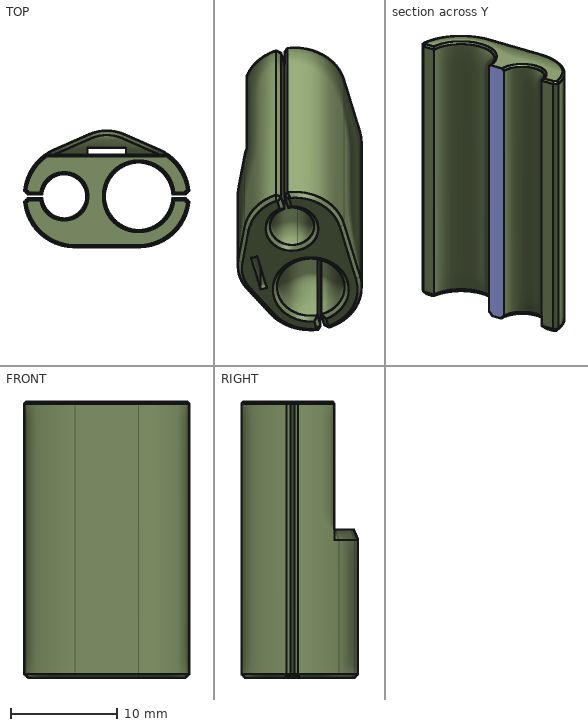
import cadquery as cq
import math

height = 26.0
end_radius = 4.8
end_offset = 3.0
back_y = 3.95
top_chamfer = 0.2
bottom_chamfer = 0.4

ledge_height = 14.0
ledge_peak_y = 6.19
ledge_peak_radius = 4.0
ledge_bevel_height = 1.0
ledge_bevel_inset = 0.43

small_bore_x = -4.0
small_bore_diameter = 4.15
large_bore_x = 3.0
large_bore_diameter = 6.35

slit_width = 0.35
slit_mouth_width = 1.1

window_width = 3.6
window_depth = 0.6


def point_on_circle(center, radius, angle):
    """Point at an angle measured from +Y towards +X."""
    return (center[0] + radius * math.sin(angle), center[1] + radius * math.cos(angle))


def gable_tangent_angle():
    """Tilt of the line tangent to both the right end arc and the ledge peak arc."""
    peak_center_y = ledge_peak_y - ledge_peak_radius
    center_distance = math.hypot(end_offset, peak_center_y)
    direction = math.atan2(end_offset, -peak_center_y)
    return direction - math.acos((ledge_peak_radius - end_radius) / center_distance)


def ledge_outline():
    """Stadium outline whose back is replaced by a gable tangent to both end arcs."""
    angle = gable_tangent_angle()
    right_center = (end_offset, 0)
    peak_center = (0, ledge_peak_y - ledge_peak_radius)
    end_tangent = point_on_circle(right_center, end_radius, angle)
    peak_tangent = point_on_circle(peak_center, ledge_peak_radius, angle)
    end_middle = point_on_circle(right_center, end_radius, (angle + math.pi) / 2)
    return (
        cq.Workplane("XY")
        .moveTo(-end_offset, -end_radius)
        .lineTo(end_offset, -end_radius)
        .threePointArc(end_middle, end_tangent)
        .lineTo(*peak_tangent)
        .threePointArc((0, ledge_peak_y), (-peak_tangent[0], peak_tangent[1]))
        .lineTo(-end_tangent[0], end_tangent[1])
        .threePointArc((-end_middle[0], end_middle[1]), (-end_offset, -end_radius))
        .close()
    )


def make_ledge():
    straight_height = ledge_height - ledge_bevel_height
    bevel_angle = math.degrees(math.atan2(ledge_bevel_inset, ledge_bevel_height))
    straight = ledge_outline().extrude(straight_height)
    bevel = ledge_outline().extrude(ledge_bevel_height, taper=bevel_angle)
    bevel = bevel.translate((0, 0, straight_height))
    return straight.union(bevel)


def make_window():
    return (
        cq.Workplane("XY")
        .center(0, back_y + window_depth / 2)
        .rect(window_width, window_depth)
        .extrude(ledge_height)
    )


def make_body():
    stadium_length = 2 * (end_offset + end_radius)
    depth = end_radius + back_y
    stadium = cq.Workplane("XY").slot2D(stadium_length, 2 * end_radius).extrude(height)
    keep = (
        cq.Workplane("XY")
        .center(0, back_y - depth / 2)
        .rect(stadium_length, depth)
        .extrude(height)
    )
    return stadium.intersect(keep)


def bore(x, diameter):
    return cq.Workplane("XY").center(x, 0).circle(diameter / 2).extrude(height)


def slit(bore_x, side):
    """Slit from a bore axis out past the side, flaring at the outer surface."""
    half_width = slit_width / 2
    lip_half_width = slit_mouth_width / 2
    lip_x = end_offset + math.sqrt(end_radius**2 - lip_half_width**2)
    outer_x = end_offset + end_radius
    lip_bevel = lip_half_width - half_width
    flare_x = side * (lip_x - lip_bevel)
    return (
        cq.Workplane("XY")
        .moveTo(bore_x, -half_width)
        .lineTo(flare_x, -half_width)
        .lineTo(side * lip_x, -lip_half_width)
        .lineTo(side * outer_x, -lip_half_width)
        .lineTo(side * outer_x, lip_half_width)
        .lineTo(side * lip_x, lip_half_width)
        .lineTo(flare_x, half_width)
        .lineTo(bore_x, half_width)
        .close()
        .extrude(height)
    )


def cut_bores_and_slits(solid):
    return (
        solid.cut(bore(small_bore_x, small_bore_diameter))
        .cut(bore(large_bore_x, large_bore_diameter))
        .cut(slit(small_bore_x, -1))
        .cut(slit(large_bore_x, 1))
    )


part = cut_bores_and_slits(make_body().union(make_ledge()))
part = part.faces("<Z").chamfer(bottom_chamfer)
part = part.faces(">Z").chamfer(top_chamfer)
result = part.cut(make_window())